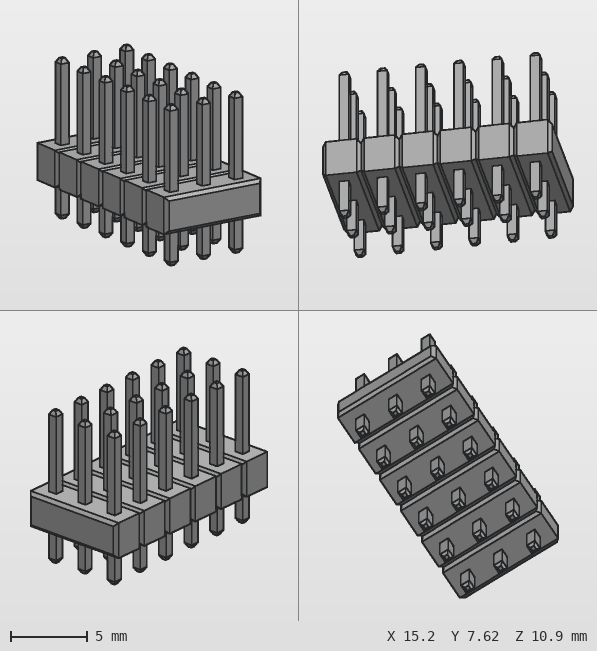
import cadquery as cq

block_count = 6
pins_per_block = 3
overall_length = 15.24
pitch = overall_length / block_count

body_height = pitch
block_bevel = 0.25

pin_width = 0.64
pin_length = 10.93
pin_below_body = 2.55
tip_length = 0.3
tip_width = 0.27

body_depth = pins_per_block * pitch


def centred_positions(count):
    """Positions spaced one pitch apart and centred on zero."""
    return [(index - (count - 1) / 2) * pitch for index in range(count)]


def make_block():
    """One block, with all edges of its two X faces bevelled."""
    return (
        cq.Workplane("XY")
        .box(pitch, body_depth, body_height, centered=(True, True, False))
        .faces("<X or >X")
        .edges()
        .chamfer(block_bevel)
    )


def make_tip(base_z, direction):
    """Tapered pin end growing from base_z, up (+1) or down (-1)."""
    return (
        cq.Workplane("XY", origin=(0, 0, base_z))
        .rect(pin_width, pin_width)
        .workplane(offset=direction * tip_length)
        .rect(tip_width, tip_width)
        .loft(ruled=True)
    )


def make_pin():
    """Square pin with a tapered tip at each end."""
    shank_bottom = tip_length - pin_below_body
    shank_length = pin_length - 2 * tip_length
    shank = (
        cq.Workplane("XY", origin=(0, 0, shank_bottom))
        .rect(pin_width, pin_width)
        .extrude(shank_length)
    )
    lower_tip = make_tip(shank_bottom, -1)
    upper_tip = make_tip(shank_bottom + shank_length, 1)
    return shank.union(lower_tip).union(upper_tip)


block = make_block()
pin = make_pin()

result = cq.Workplane("XY")
for x in centred_positions(block_count):
    result = result.union(block.translate((x, 0, 0)))
for x in centred_positions(block_count):
    for y in centred_positions(pins_per_block):
        result = result.union(pin.translate((x, y, 0)))